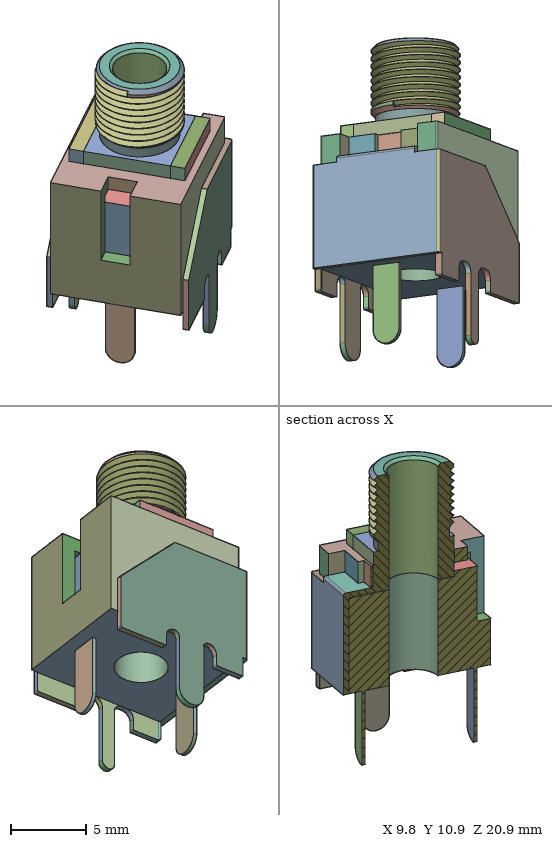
import cadquery as cq

HOUSING_WIDTH = 9.0
HOUSING_DEPTH = 10.51
HOUSING_HEIGHT = 9.0
AXIS_TO_FRONT = 5.7
FRONT_Y = -AXIS_TO_FRONT
BACK_Y = FRONT_Y + HOUSING_DEPTH
BACK_CORNER_RADIUS = 0.13
EAR_WIDTH = 1.0
EAR_HEIGHT = 1.0
PLATFORM_TOP = HOUSING_HEIGHT + EAR_HEIGHT

SHEET = 0.4
FRAME_WIDTH = HOUSING_WIDTH + 2 * SHEET
FRAME_BACK_Y = BACK_Y + SHEET
FRAME_FRONT_Y = FRONT_Y + 0.5
OUTER_BEND_RADIUS = 0.19
WALL_TOP = HOUSING_HEIGHT - 2.0
WALL_SLOPE = 4.4
SKIRT_DEPTH = 1.5
SKIRT_CORNER_RADIUS = 0.1
PLATE_TOP = HOUSING_HEIGHT - 1.57
PLATE_BOTTOM = PLATE_TOP - SHEET

TIP_Z = -5.4
LEG_Y = FRONT_Y + 6.3
NARROW_LEG_WIDTH = 1.0
WIDE_LEG_WIDTH = 2.0
LEG_GAP_WIDTH = 4.08
GAP_RADIUS = 0.65
NARROW_LEG_ROOT_RADIUS = 0.65
WIDE_LEG_ROOT_RADIUS = 0.38
PIN_WIDTH = 2.0
PIN_THICKNESS = 0.27
PIN_CENTRES_Y = (FRONT_Y + 1.15, FRONT_Y + 9.4)

BLOCK_SIZE = 6.0
BLOCK_HALF = BLOCK_SIZE / 2
BARREL_LENGTH = 5.5
BARREL_TOP = PLATFORM_TOP + BARREL_LENGTH
BORE_DIAMETER = 3.6
BORE_CHAMFER = 0.2
NECK_DIAMETER = 5.35
NECK_LENGTH = 0.7
THREAD_DIAMETER = 5.94
THREAD_PITCH = 0.5
THREAD_TURNS = 8.5
THREAD_START_ANGLE = 90
THREAD_START_Z = BARREL_TOP - 4.51
GROOVE_WIDTH = 0.48
THREAD_DEPTH = (THREAD_DIAMETER - NECK_DIAMETER) / 2

SLOT_WIDTH = 2.0
SLOT_HEIGHT = 5.6
SLOT_DEPTH = 1.0
SLOT_MOUTH_DEPTH = 1.71
ROOF_THICKNESS = 1.0
POCKET_DEPTH = 1.2
NOTCH_DEPTH = 1.63


def block(width, y_range, z_range):
    """Box centred on X = 0 that spans the given Y and Z ranges."""
    return (
        cq.Workplane("XY")
        .box(width, y_range[1] - y_range[0], z_range[1] - z_range[0], centered=(True, False, False))
        .translate((0, y_range[0], z_range[0]))
    )


def make_pin(centre_y):
    """Flat solder pin under the housing, with a full round tip."""
    half = PIN_WIDTH / 2
    return (
        cq.Workplane("XZ")
        .moveTo(-half, 0)
        .lineTo(-half, TIP_Z + half)
        .threePointArc((0, TIP_Z), (half, TIP_Z + half))
        .lineTo(half, 0)
        .close()
        .extrude(PIN_THICKNESS / 2, both=True)
        .translate((0, centre_y, 0))
    )


def cut_front_slot(body):
    """Slot down the front face, deeper at its mouth, with an undercut below the roof."""
    slot_bottom = HOUSING_HEIGHT - SLOT_HEIGHT
    slot_back_y = FRONT_Y + SLOT_DEPTH
    slot = block(SLOT_WIDTH, (FRONT_Y, slot_back_y), (slot_bottom, HOUSING_HEIGHT))
    mouth = block(SLOT_WIDTH, (FRONT_Y, FRONT_Y + SLOT_MOUTH_DEPTH), (PLATE_TOP, HOUSING_HEIGHT))
    undercut = block(
        BLOCK_SIZE, (slot_back_y, -BLOCK_HALF), (PLATE_TOP, HOUSING_HEIGHT - ROOF_THICKNESS)
    )
    return body.cut(slot).cut(mouth).cut(undercut)


def cut_metal_seat(body):
    """Square socket for the barrel block and the open pocket for the plate behind it."""
    socket = block(BLOCK_SIZE, (-BLOCK_HALF, BLOCK_HALF), (PLATE_BOTTOM, PLATFORM_TOP))
    channel = block(BLOCK_SIZE, (BLOCK_HALF, BACK_Y), (PLATE_BOTTOM, PLATE_TOP))
    pocket = block(BLOCK_SIZE, (BACK_Y - POCKET_DEPTH, BACK_Y), (PLATE_TOP, HOUSING_HEIGHT))
    notch = block(SLOT_WIDTH, (BACK_Y - NOTCH_DEPTH, BACK_Y), (PLATE_TOP, HOUSING_HEIGHT))
    return body.cut(socket).cut(channel).cut(pocket).cut(notch)


def make_housing():
    """Plastic box with two ears beside the barrel block, and its solder pins."""
    body = block(HOUSING_WIDTH, (FRONT_Y, BACK_Y), (0, HOUSING_HEIGHT))
    body = body.edges("|Z and >Y").fillet(BACK_CORNER_RADIUS)
    ears = block(
        BLOCK_SIZE + 2 * EAR_WIDTH, (-BLOCK_HALF, BLOCK_HALF), (HOUSING_HEIGHT, PLATFORM_TOP)
    )
    body = cut_metal_seat(body.union(ears))
    body = cut_front_slot(body)
    body = body.cut(cq.Workplane("XY").circle(BORE_DIAMETER / 2).extrude(PLATE_BOTTOM))
    for centre_y in PIN_CENTRES_Y:
        body = body.union(make_pin(centre_y))
    return body


def make_channel():
    """U-shaped sheet around the back and both sides, over the full height of the legs."""
    z_range = (TIP_Z, WALL_TOP)
    outside = block(FRAME_WIDTH, (FRAME_FRONT_Y, FRAME_BACK_Y), z_range)
    outside = outside.edges("|Z and >Y").fillet(OUTER_BEND_RADIUS)
    inside = block(HOUSING_WIDTH, (FRONT_Y, BACK_Y), z_range)
    inside = inside.edges("|Z and >Y").fillet(BACK_CORNER_RADIUS)
    return outside.cut(inside)


def make_wall_outline(side):
    """Side wall shape without its leg; side is -1 for the -X half and +1 for the +X half."""
    outline = (
        cq.Workplane("YZ")
        .moveTo(FRAME_BACK_Y, 0)
        .lineTo(FRAME_BACK_Y, WALL_TOP)
        .lineTo(FRAME_FRONT_Y + WALL_SLOPE, WALL_TOP)
        .lineTo(FRAME_FRONT_Y, WALL_TOP - WALL_SLOPE)
        .lineTo(FRAME_FRONT_Y, -SKIRT_DEPTH)
        .lineTo(LEG_Y - LEG_GAP_WIDTH / 2, -SKIRT_DEPTH)
        .lineTo(LEG_Y - LEG_GAP_WIDTH / 2, 0)
        .lineTo(LEG_Y + LEG_GAP_WIDTH / 2, 0)
        .lineTo(LEG_Y + LEG_GAP_WIDTH / 2, -SKIRT_DEPTH)
        .lineTo(BACK_Y, -SKIRT_DEPTH)
        .lineTo(BACK_Y, 0)
        .close()
        .extrude(side * FRAME_WIDTH / 2)
    )
    return outline.faces("<Z").edges("|X").fillet(SKIRT_CORNER_RADIUS)


def make_leg_outline(side, leg_width, root_radius):
    """Round-tipped leg that flares into the wall, and the rounded outer ends of its gaps."""
    half = leg_width / 2
    gap = LEG_GAP_WIDTH / 2
    leg = (
        cq.Workplane("YZ")
        .moveTo(LEG_Y - half - root_radius, 0)
        .radiusArc((LEG_Y - half, -root_radius), root_radius)
        .lineTo(LEG_Y - half, TIP_Z + half)
        .threePointArc((LEG_Y, TIP_Z), (LEG_Y + half, TIP_Z + half))
        .lineTo(LEG_Y + half, -root_radius)
        .radiusArc((LEG_Y + half + root_radius, 0), root_radius)
        .close()
        .extrude(side * FRAME_WIDTH / 2)
    )
    for end in (-1, 1):
        corner_y = LEG_Y + end * gap
        web = (
            cq.Workplane("YZ")
            .moveTo(corner_y, 0)
            .lineTo(corner_y, -GAP_RADIUS)
            .radiusArc((corner_y - end * GAP_RADIUS, 0), -end * GAP_RADIUS)
            .close()
            .extrude(side * FRAME_WIDTH / 2)
        )
        leg = leg.union(web)
    return leg


def make_frame():
    """Back wall and both side walls, each side with its own leg."""
    left = make_wall_outline(-1).union(
        make_leg_outline(-1, NARROW_LEG_WIDTH, NARROW_LEG_ROOT_RADIUS)
    )
    right = make_wall_outline(1).union(
        make_leg_outline(1, WIDE_LEG_WIDTH, WIDE_LEG_ROOT_RADIUS)
    )
    return make_channel().intersect(left.union(right))


def make_plate():
    """Strip bent forward from the back wall to carry the barrel block."""
    plate = block(BLOCK_SIZE, (-BLOCK_HALF, FRAME_BACK_Y), (PLATE_BOTTOM, PLATE_TOP))
    plate = plate.edges("|X and >Y and >Z").fillet(OUTER_BEND_RADIUS)
    riser = block(BLOCK_SIZE, (BACK_Y, FRAME_BACK_Y), (0, PLATE_BOTTOM))
    return plate.union(riser)


def make_thread_groove():
    """Right-hand helical V groove that starts on the +Y side."""
    radius = THREAD_DIAMETER / 2
    overshoot = 0.06
    half_mouth = GROOVE_WIDTH / 2 * (THREAD_DEPTH + overshoot) / THREAD_DEPTH
    helix = cq.Wire.makeHelix(THREAD_PITCH, THREAD_PITCH * THREAD_TURNS, radius)
    groove = (
        cq.Workplane("XZ")
        .moveTo(radius - THREAD_DEPTH, 0)
        .lineTo(radius + overshoot, half_mouth)
        .lineTo(radius + overshoot, -half_mouth)
        .close()
        .sweep(cq.Workplane(obj=helix), isFrenet=True)
    )
    groove = groove.rotate((0, 0, 0), (0, 0, 1), THREAD_START_ANGLE)
    return groove.translate((0, 0, THREAD_START_Z))


def make_barrel():
    """Square block, plain neck and threaded barrel."""
    thread_bottom = PLATFORM_TOP + NECK_LENGTH
    neck = cq.Workplane("XY").workplane(offset=PLATFORM_TOP).circle(NECK_DIAMETER / 2).extrude(NECK_LENGTH)
    blank = (
        cq.Workplane("XY")
        .workplane(offset=thread_bottom)
        .circle(THREAD_DIAMETER / 2)
        .extrude(BARREL_TOP - thread_bottom)
    )
    chamfered_envelope = blank.edges().chamfer(THREAD_DEPTH)
    threaded = blank.cut(make_thread_groove()).intersect(chamfered_envelope)
    base = block(BLOCK_SIZE, (-BLOCK_HALF, BLOCK_HALF), (PLATE_BOTTOM, PLATFORM_TOP))
    return base.union(neck).union(threaded)


def make_bore():
    """Through bore with a chamfered mouth."""
    radius = BORE_DIAMETER / 2
    return (
        cq.Workplane("XZ")
        .moveTo(0, PLATE_BOTTOM)
        .lineTo(radius, PLATE_BOTTOM)
        .lineTo(radius, BARREL_TOP - BORE_CHAMFER)
        .lineTo(radius + BORE_CHAMFER, BARREL_TOP)
        .lineTo(0, BARREL_TOP)
        .close()
        .revolve(360, (0, 0, 0), (0, 1, 0))
    )


def make_metal():
    """Frame, plate and barrel as one piece of metal, bored through."""
    return make_frame().union(make_plate()).union(make_barrel()).cut(make_bore())


housing = make_housing()
metal = make_metal()

result = cq.Compound.makeCompound([housing.solids().val(), metal.solids().val()])